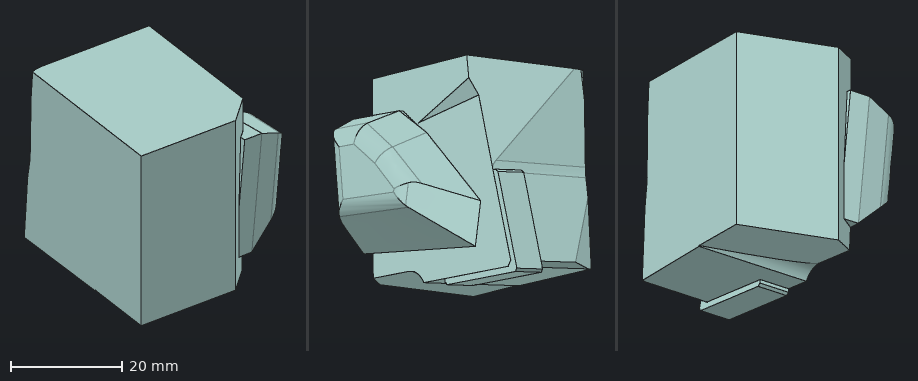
import cadquery as cq
import math

LENGTH = 42.0
HEIGHT = 40.0
BLOCK_DEPTH = 26.05
BLOCK_BOTTOM = 3.7
CORNER_CHAMFER = 5.35
OVERSIZE = 168.0
TO_RIGHT = (1, 0, 0)
UP = (0, 0, 1)

CLIP_CORNER = (-0.1, 20.05, 0.0)
FOOT_DIRECTION = (0.991, 0.133, 0.0)
FRONT_DIRECTION = (0.132, -0.986, 0.1)
tilted = cq.Plane(origin=CLIP_CORNER, xDir=FOOT_DIRECTION, normal=FRONT_DIRECTION)

LEAN = 0.172
CLIP_WIDTH = 6.35
CLIP_THICKNESS = 1.18
CLIP_HEIGHT = 19.0
FOOT_LENGTH = 19.1
INNER_CHAMFER = 1.0
OUTER_CHAMFER = 0.55
END_BEVEL = 0.5

FOOT_END = 24.65
FOOT_TOP = 8.4
FOOT_COVE_DIAMETER = 7.95
FOOT_COVE_RADIUS = FOOT_COVE_DIAMETER / 2

TOP_EDGE_X = 7.22
LEFT_VALLEY = (4.2, 22.55, 19.82)
DIAGONAL_TOP = (TOP_EDGE_X, 2.3, HEIGHT)
FRONT_VALLEY = (7.1, 0, 22.1)
FRONT_SLIVER = [(7.3, 1.0, HEIGHT), (7.85, 0, HEIGHT), (7.25, 0, 32.75)]
LOWER_CORNER = [(3.35, 5.15, 3.7), (6.35, 0, 17.2), (5.25, 0, 3.4)]
LEDGE = [(6.6, 26.05, 35.7), (6.15, 24.25, 32.75), (22.7, 26.05, 29.6)]

LOWER_TOP = 27.3
VALLEY_MIDDLE = (5.65, 11.35, 20.15)
VALLEY_RADIUS = 13.45

DOME_HEIGHT = 10.4
DOME_ROOT = 4.2
DOME_ROUND = FOOT_COVE_RADIUS
DOME_BASE = [(39.8, 32.9), (27.7, 32.75), (21.0, 27.95), (8.25, 13.85), (10.5, 5.9), (39.8, 8.4)]
DOME_CROWN = [(38.65, 29.8), (30.65, 29.8), (23.95, 24.55), (18.9, 19.3), (20.15, 15.1), (38.65, 15.95)]
CROWN_TURN = -3.5


def half_space(plane):
    """Large box filling the side of the plane that its normal points to."""
    return cq.Workplane(plane).rect(OVERSIZE, OVERSIZE).extrude(OVERSIZE)


def half_space_through(corners, toward):
    """Half-space bounded by the plane through three corners, on the side given by a direction."""
    first, second, third = [cq.Vector(*corner) for corner in corners]
    normal = (second - first).cross(third - first)
    if normal.dot(cq.Vector(*toward)) < 0:
        normal = normal * -1
    return half_space(cq.Plane(origin=first, normal=normal))


def upright_x(height, inset):
    """Local x on the leaning upright at a local height, inset from its outer face."""
    return LEAN * height + inset


def inner_corner():
    """Two ends of the chamfer where the upright and the foot of the clip meet inside."""
    chamfer_top = CLIP_THICKNESS + INNER_CHAMFER
    return [
        (upright_x(CLIP_THICKNESS, CLIP_THICKNESS) + INNER_CHAMFER, CLIP_THICKNESS),
        (upright_x(chamfer_top, CLIP_THICKNESS), chamfer_top),
    ]


def make_clip():
    """L-shaped strip with bevelled ends, extruded along the tilted frame."""
    outline = [
        (OUTER_CHAMFER, 0),
        (FOOT_LENGTH - END_BEVEL, 0),
        (FOOT_LENGTH, END_BEVEL),
        (FOOT_LENGTH, CLIP_THICKNESS),
        *inner_corner(),
        (upright_x(CLIP_HEIGHT, CLIP_THICKNESS), CLIP_HEIGHT),
        (upright_x(CLIP_HEIGHT, END_BEVEL), CLIP_HEIGHT),
        (upright_x(CLIP_HEIGHT - END_BEVEL, 0), CLIP_HEIGHT - END_BEVEL),
        (upright_x(OUTER_CHAMFER, 0), OUTER_CHAMFER),
    ]
    return cq.Workplane(tilted).polyline(outline).close().extrude(CLIP_WIDTH)


def prism(outline):
    """Closed outline in the tilted frame, extruded far to the front and to the back."""
    return cq.Workplane(tilted).polyline(outline).close().extrude(OVERSIZE / 2, both=True)


def make_footprint():
    """Box of the block with its back right corner chamfered, down to the level of the clip."""
    return (
        cq.Workplane("XY")
        .moveTo(0, 0)
        .lineTo(LENGTH, 0)
        .lineTo(LENGTH, BLOCK_DEPTH - CORNER_CHAMFER)
        .lineTo(LENGTH - CORNER_CHAMFER, BLOCK_DEPTH)
        .lineTo(0, BLOCK_DEPTH)
        .close()
        .extrude(HEIGHT)
    )


def make_foot():
    """Foot that rests on the clip and ends in a cove."""
    cove_y = BLOCK_BOTTOM - FOOT_COVE_RADIUS
    cove_x = FOOT_END + math.sqrt(FOOT_COVE_RADIUS**2 - (CLIP_THICKNESS - cove_y) ** 2)
    foot = prism([(0, CLIP_THICKNESS), (cove_x, CLIP_THICKNESS), (cove_x, FOOT_TOP), (0, FOOT_TOP)])
    cove = (
        cq.Workplane(tilted).center(cove_x, cove_y).circle(FOOT_COVE_RADIUS).extrude(OVERSIZE / 2, both=True)
    )
    return foot.cut(cove)


def left_envelope():
    """Space right of the left side: two upper facets meeting the leaning lower side in a valley."""
    chamfer_bottom, chamfer_top = inner_corner()
    lower = prism(
        [
            chamfer_top,
            chamfer_bottom,
            (OVERSIZE, CLIP_THICKNESS - OVERSIZE),
            (OVERSIZE, LOWER_TOP),
            (upright_x(LOWER_TOP, CLIP_THICKNESS), LOWER_TOP),
        ]
    )
    back_facet = [(TOP_EDGE_X, 0, HEIGHT), DIAGONAL_TOP, LEFT_VALLEY]
    front_facet = [DIAGONAL_TOP, LEFT_VALLEY, FRONT_VALLEY]
    upper = half_space_through(back_facet, TO_RIGHT).intersect(half_space_through(front_facet, TO_RIGHT))
    lower = lower.intersect(half_space_through(LOWER_CORNER, TO_RIGHT))
    return lower.union(upper)


def back_envelope():
    """Space in front of the tilted back side, and above the ledge over it."""
    return half_space(tilted).union(half_space_through(LEDGE, UP))


def make_dome():
    """Tapered dome with a rounded crown, rooted in the back side of the block."""
    crown_plane = cq.Plane(
        origin=tilted.toWorldCoords((0, 0, -DOME_HEIGHT)), xDir=tilted.xDir, normal=tilted.zDir
    ).rotated((0, CROWN_TURN, 0))
    base = cq.Workplane(tilted).polyline(DOME_BASE).close()
    root = cq.Workplane(tilted).polyline(DOME_BASE).close().extrude(DOME_ROOT)
    crown = cq.Workplane(crown_plane).polyline(DOME_CROWN).close()
    dome = cq.Workplane(cq.Solid.makeLoft([base.wire().val(), crown.wire().val()], True))
    dome = dome.faces(cq.selectors.DirectionMinMaxSelector(-crown_plane.zDir)).edges().fillet(DOME_ROUND)
    return dome.union(root)


def make_block():
    """Chamfered block on its foot, trimmed by the tilted sides and carrying the dome."""
    footprint = make_footprint()
    block = footprint.intersect(half_space(cq.Plane((0, 0, BLOCK_BOTTOM))))
    block = block.union(make_foot().intersect(footprint))
    block = block.intersect(left_envelope())
    block = block.intersect(back_envelope())
    block = block.intersect(half_space_through(FRONT_SLIVER, TO_RIGHT))
    valley = cq.selectors.NearestToPointSelector(VALLEY_MIDDLE)
    block = block.edges(valley).fillet(VALLEY_RADIUS)
    return block.union(make_dome())


clip = make_clip()
block = make_block().cut(clip)
result = cq.Compound.makeCompound([block.solids().val(), clip.val()])